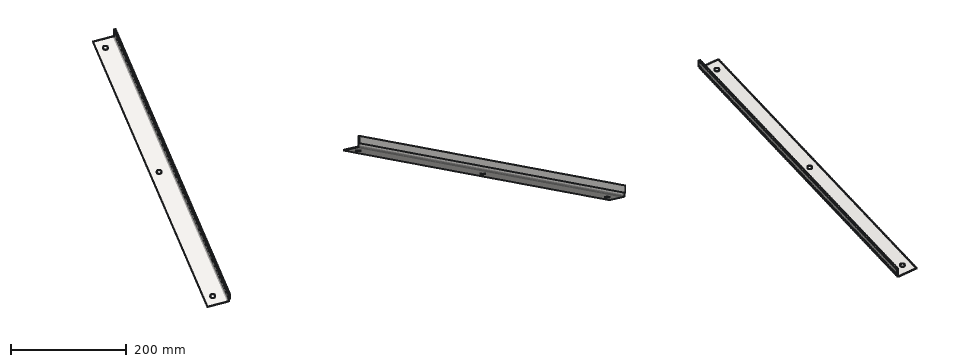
import cadquery as cq
import math

length = 620.0
floor_depth = 38.0
height = 20.0

sheet = 1.7
band_thickness = 2 * sheet
width = floor_depth + band_thickness
band_height = 13.0

bend_inner_radius = 0.9
bend_outer_radius = bend_inner_radius + sheet

hole_diameter = 8.5
hole_end_offset = 20.0
hole_front_offset = 16.0

wall_inner_y = floor_depth
wall_outer_y = wall_inner_y + sheet
band_bottom_z = height - band_height


def angle_section():
    """L section extruded along X; the band steps outward from the wall."""
    bend_y = wall_inner_y - bend_inner_radius
    bend_z = sheet + bend_inner_radius
    diagonal = math.sqrt(0.5)
    outer_mid = (bend_y + bend_outer_radius * diagonal, bend_z - bend_outer_radius * diagonal)
    inner_mid = (bend_y + bend_inner_radius * diagonal, bend_z - bend_inner_radius * diagonal)
    return (
        cq.Workplane("YZ")
        .lineTo(bend_y, 0)
        .threePointArc(outer_mid, (wall_outer_y, bend_z))
        .lineTo(wall_outer_y, band_bottom_z)
        .lineTo(width, band_bottom_z)
        .lineTo(width, height)
        .lineTo(wall_inner_y, height)
        .lineTo(wall_inner_y, bend_z)
        .threePointArc(inner_mid, (bend_y, sheet))
        .lineTo(0, sheet)
        .close()
        .extrude(length)
    )


def mounting_holes():
    """One hole near each end and one at mid length."""
    hole_xs = [hole_end_offset, length / 2, length - hole_end_offset]
    centres = [(x, hole_front_offset) for x in hole_xs]
    return cq.Workplane("XY").pushPoints(centres).circle(hole_diameter / 2).extrude(sheet)


result = angle_section().cut(mounting_holes())